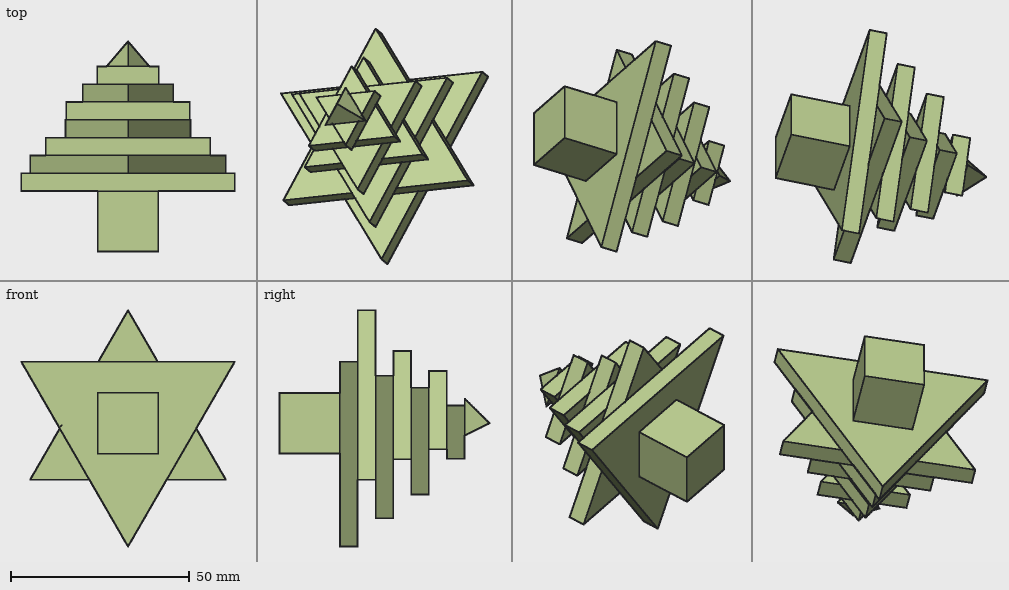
import cadquery as cq
import math

total_length = 59.0
total_height = 66.4
peg_size = 17.0
stack_depth = 35.0
tip_side = 12.0

largest_side = 60.0
second_side = total_height * math.sqrt(3) - largest_side

plate_sides = [largest_side, second_side, 46.2, 35.1, 34.65, 25.5, 17.3]
plate_thickness = stack_depth / len(plate_sides)
tip_length = total_length - peg_size - stack_depth

POINTS_UP = 1
POINTS_DOWN = -1


def triangle_corners(side, direction):
    """X, Z corners of an equilateral triangle centred on the Y axis."""
    corner_radius = side / math.sqrt(3)
    base_z = -direction * corner_radius / 2
    return [(-side / 2, base_z), (side / 2, base_z), (0, direction * corner_radius)]


def make_plate(side, direction, front_y):
    return (
        cq.Workplane("XZ", origin=(0, front_y, 0))
        .polyline(triangle_corners(side, direction))
        .close()
        .extrude(-plate_thickness)
    )


def make_tip(side, direction, base_y):
    """Triangular pyramid whose apex lies on the Y axis."""
    base = [cq.Vector(x, base_y, z) for x, z in triangle_corners(side, direction)]
    apex = cq.Vector(0, base_y + tip_length, 0)
    loops = [base]
    for index in range(len(base)):
        loops.append([base[index - 1], base[index], apex])
    faces = [cq.Face.makeFromWires(cq.Wire.makePolygon(loop, close=True)) for loop in loops]
    return cq.Solid.makeSolid(cq.Shell.makeShell(faces))


result = cq.Workplane("XZ").rect(peg_size, peg_size).extrude(peg_size)

for index, side in enumerate(plate_sides):
    direction = POINTS_DOWN if index % 2 == 0 else POINTS_UP
    result = result.union(make_plate(side, direction, index * plate_thickness))

result = result.union(cq.Workplane(make_tip(tip_side, POINTS_UP, stack_depth)))